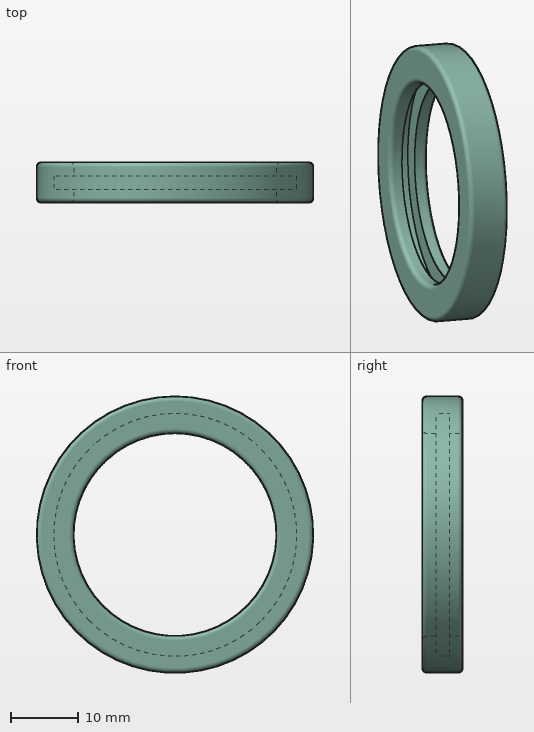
import cadquery as cq

outer_diameter = 41.0
bore_diameter = 30.0
width = 6.0
edge_radius = 0.7

groove_width = 2.0
groove_depth = 3.0

outer_radius = outer_diameter / 2
bore_radius = bore_diameter / 2
groove_radius = bore_radius + groove_depth

cutter_clearance = 1.0


def annulus(inner_radius, rim_radius, length):
    """Sharp-edged ring about the Y axis, centred on the XZ plane."""
    half_length = length / 2
    section = (
        cq.Workplane("YZ")
        .moveTo(-half_length, inner_radius)
        .lineTo(half_length, inner_radius)
        .lineTo(half_length, rim_radius)
        .lineTo(-half_length, rim_radius)
        .close()
    )
    return section.revolve(360, (0, 0), (1, 0))


def rounded_ring():
    """Ring body with its two outer and two bore edges rounded."""
    ring = annulus(bore_radius, outer_radius, width)
    return ring.faces("<Y or >Y").edges().fillet(edge_radius)


def bore_groove():
    """Material removed from the bore wall to form the groove."""
    return annulus(bore_radius - cutter_clearance, groove_radius, groove_width)


result = rounded_ring().cut(bore_groove())